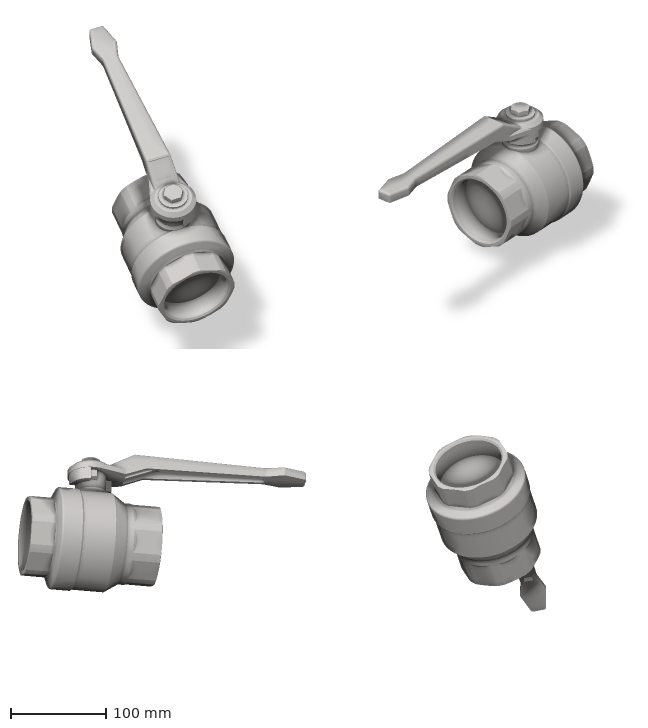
import cadquery as cq
import math


same_place = 0.03

inlet_x = -70.0
outlet_x = 70.2
end_radius = 43.0
body_radius = 52.5
cap_radius = 54.0
inlet_cone_start_x = -32.5
inlet_cone_end_x = -18.0
cap_step_x = 16.2
cap_step_length = 1.8
cap_shoulder_x = 39.3
cap_shoulder_fillet = 2.5
cap_cone_end_x = 43.5
cap_cone_end_radius = 44.7
outlet_neck_x = 45.0
rim_chamfer_length = 0.5
rim_chamfer_depth = 1.8

bore_radius = 36.0
bore_mouth_radius = 37.8
bore_depth = 23.5

flat_count = 8
flat_apothem = 41.0
inlet_flat_end_x = -39.3
inlet_flat_runout = 3.5

neck_radius = 16.5
collar_radius = 19.2
collar_top_z = 54.5
collar_chamfer = 3.0

hub_radius = 24.3
hub_bottom_z = 76.0
hub_edge_z = 82.5
hub_top_z = 86.5
hub_top_radius = 19.8
washer_radius = 15.3
washer_top_z = 89.0
nut_across_flats = 18.5
nut_top_z = 95.5
nut_chamfer_angle = math.radians(30)

skirt_radius = 23.7
skirt_bottom_z = 63.0
skirt_gap = 4.0
lug_root_depth = 1.5
lug_half_width = 4.8
lug_tip_half_width = 3.0
lug_tip_y = 22.0
lug_top_z = 73.8
lug_bottom_z = 64.2
lug_tip_bottom_z = 66.3

overall_length = 300
lever_tip_x = outlet_x - overall_length
lever_top_z = 101.5
lever_tip_bottom_z = 91.0
lever_knob_x = -205.2
lever_waist_x = -186.0
lever_root_x = -12.0
lever_tip_half_width = 7.8
lever_knob_half_width = 14.0
lever_waist_half_width = 8.7
lever_root_half_width = 15.0
lever_bend_x = -45.0
lever_slope = math.tan(math.radians(30))
lever_heel_x = -58.2
lever_heel_z = 85.5
lever_foot_x = -35.0
lever_corner_radius = 2.5
lever_rim_fillet = 3.0

lever_wall = 4.0
lever_rib_half_width = 3.3
lever_roof = 5.5
slope_roof_drop = 10.8
pocket_end_x = -23.7
panel_start_x = -43.2
panel_end_x = -24.0
panel_half_width = 11.0
panel_depth = 1.0

gusset_top_z = 83.0
gusset_chamfer = 1.8
gusset_start_x = -36.0
gusset_tangent_angle = math.radians(17.6)


def upright_cylinder(radius, bottom_z, top_z):
    return cq.Workplane("XY").workplane(offset=bottom_z).circle(radius).extrude(top_z - bottom_z)


def slope_top_z(x):
    """Height of the lever's sloped top face at x."""
    return lever_top_z - (x - lever_bend_x) * lever_slope


def mirrored(points):
    """The same points on the -Y side, in reverse order."""
    return [(x, -y) for x, y in reversed(points)]


def make_body():
    profile = (
        cq.Workplane("XY")
        .moveTo(inlet_x, 0)
        .lineTo(inlet_x, end_radius - rim_chamfer_depth)
        .lineTo(inlet_x + rim_chamfer_length, end_radius)
        .lineTo(inlet_cone_start_x, end_radius)
        .lineTo(inlet_cone_end_x, body_radius)
        .lineTo(cap_step_x, body_radius)
        .lineTo(cap_step_x + cap_step_length, cap_radius)
        .lineTo(cap_shoulder_x, cap_radius)
        .lineTo(cap_cone_end_x, cap_cone_end_radius)
        .lineTo(outlet_neck_x, end_radius)
        .lineTo(outlet_x - rim_chamfer_length, end_radius)
        .lineTo(outlet_x, end_radius - rim_chamfer_depth)
        .lineTo(outlet_x, 0)
        .close()
    )
    body = profile.revolve(360, (0, 0, 0), (1, 0, 0))
    rims = body.edges("%CIRCLE").vals()
    shoulder_rims = [rim for rim in rims if abs(rim.Center().x - cap_shoulder_x) < same_place]
    return body.newObject(shoulder_rims).fillet(cap_shoulder_fillet)


def make_socket(mouth_x, inward):
    """Bore with a chamfered mouth; inward is +1 or -1 along X."""
    mouth_chamfer = bore_mouth_radius - bore_radius
    profile = (
        cq.Workplane("XY")
        .moveTo(mouth_x, 0)
        .lineTo(mouth_x, bore_mouth_radius)
        .lineTo(mouth_x + inward * mouth_chamfer, bore_radius)
        .lineTo(mouth_x + inward * bore_depth, bore_radius)
        .lineTo(mouth_x + inward * bore_depth, 0)
        .close()
    )
    return profile.revolve(360, (0, 0, 0), (1, 0, 0))


def make_flat_cutters(start_x, end_x):
    """Slabs that lie outside the wrench flats between two stations along the flow axis."""
    slab = (
        cq.Workplane("XY").workplane(offset=flat_apothem)
        .rect(end_x - start_x, 2 * end_radius)
        .extrude(end_radius - flat_apothem)
        .translate(((start_x + end_x) / 2, 0, 0))
    )
    step = 360 / flat_count
    cutters = cq.Workplane("XY")
    for index in range(flat_count):
        cutters = cutters.add(slab.rotate((0, 0, 0), (1, 0, 0), (index + 0.5) * step))
    return cutters.combine()


def make_flat_runout():
    """Cone that the inlet flats climb to meet the round end of the body."""
    return (
        cq.Workplane("XY")
        .moveTo(inlet_flat_end_x - inlet_flat_runout, 0)
        .lineTo(inlet_flat_end_x - inlet_flat_runout, flat_apothem)
        .lineTo(inlet_flat_end_x, end_radius)
        .lineTo(inlet_flat_end_x, 0)
        .close()
        .revolve(360, (0, 0, 0), (1, 0, 0))
    )


def make_neck():
    collar = upright_cylinder(collar_radius, 0, collar_top_z + collar_chamfer)
    collar = collar.faces(">Z").chamfer(collar_chamfer)
    return collar.union(upright_cylinder(neck_radius, 0, hub_bottom_z))


def make_lug():
    """Stop lug on the -Y side of the neck, tapering towards its tip."""
    root_y = neck_radius - lug_root_depth

    def section(half_width, bottom_z):
        return [
            (-half_width, bottom_z),
            (half_width, bottom_z),
            (half_width, lug_top_z),
            (-half_width, lug_top_z),
        ]

    return (
        cq.Workplane("XZ", origin=(0, -root_y, 0))
        .polyline(section(lug_half_width, lug_bottom_z)).close()
        .workplane(offset=lug_tip_y - root_y)
        .polyline(section(lug_tip_half_width, lug_tip_bottom_z)).close()
        .loft(ruled=True)
    )


def make_skirt():
    """Quarter skirt under the hub on its -X, -Y side."""
    quarter = (
        cq.Workplane("XY").workplane(offset=skirt_bottom_z)
        .rect(-hub_radius, -hub_radius, centered=False)
        .extrude(hub_bottom_z - skirt_bottom_z)
        .translate((-skirt_gap, -skirt_gap, 0))
    )
    return upright_cylinder(skirt_radius, skirt_bottom_z, hub_bottom_z).intersect(quarter)


def make_nut():
    """Hexagon nut whose top corners are turned off by a cone."""
    flat_radius = nut_across_flats / 2
    corner_radius = flat_radius / math.cos(math.radians(30))
    corner_drop = (corner_radius - flat_radius) * math.tan(nut_chamfer_angle)
    hexagon = (
        cq.Workplane("XY").workplane(offset=washer_top_z)
        .polygon(6, 2 * corner_radius)
        .extrude(nut_top_z - washer_top_z)
        .rotate((0, 0, 0), (0, 0, 1), 30)
    )
    turned = (
        cq.Workplane("XZ")
        .moveTo(0, washer_top_z)
        .lineTo(corner_radius, washer_top_z)
        .lineTo(corner_radius, nut_top_z - corner_drop)
        .lineTo(flat_radius, nut_top_z)
        .lineTo(0, nut_top_z)
        .close()
        .revolve(360, (0, 0, 0), (0, 1, 0))
    )
    return hexagon.intersect(turned)


def make_hub():
    hub = (
        cq.Workplane("XZ")
        .moveTo(0, hub_bottom_z)
        .lineTo(hub_radius, hub_bottom_z)
        .lineTo(hub_radius, hub_edge_z)
        .lineTo(hub_top_radius, hub_top_z)
        .lineTo(washer_radius, hub_top_z)
        .lineTo(washer_radius, washer_top_z)
        .lineTo(0, washer_top_z)
        .close()
        .revolve(360, (0, 0, 0), (0, 1, 0))
    )
    return hub.union(make_nut())


def make_gussets():
    """Plate whose two sides run tangent into the hub."""
    tangent_x = -hub_radius * math.sin(gusset_tangent_angle)
    tangent_y = hub_radius * math.cos(gusset_tangent_angle)
    start_y = tangent_y - (tangent_x - gusset_start_x) * math.tan(gusset_tangent_angle)
    outline = [
        (gusset_start_x, -start_y),
        (tangent_x, -tangent_y),
        (tangent_x, tangent_y),
        (gusset_start_x, start_y),
    ]
    plate = cq.Workplane("XY").workplane(offset=hub_bottom_z).polyline(outline).close()
    plate = plate.extrude(gusset_top_z - hub_bottom_z)
    return plate.faces(">Z").edges("not |Y").chamfer(gusset_chamfer)


def rim_edges(lever):
    """Edges round the lever's top and sloped faces, without the bend and the end hidden in the hub."""
    slope_face = lever.faces(cq.selectors.ParallelDirSelector(cq.Vector(lever_slope, 0, 1)))
    top_face = lever.faces(">Z")
    return top_face.edges("not |Y or <X").vals() + slope_face.edges("not |Y").vals()


def make_lever_blank():
    half_outline = [
        (lever_tip_x, lever_tip_half_width),
        (lever_knob_x, lever_knob_half_width),
        (lever_waist_x, lever_waist_half_width),
        (lever_root_x, lever_root_half_width),
    ]
    plan = cq.Workplane("XY").polyline(half_outline + mirrored(half_outline)).close().extrude(lever_top_z)
    knob_corners = [edge for edge in plan.edges("|Z").vals() if edge.Center().x < lever_waist_x + same_place]
    plan = plan.newObject(knob_corners).fillet(lever_corner_radius)
    side = (
        cq.Workplane("XZ")
        .polyline([
            (lever_tip_x, lever_top_z),
            (lever_bend_x, lever_top_z),
            (lever_root_x, slope_top_z(lever_root_x)),
            (lever_root_x, hub_bottom_z),
            (lever_foot_x, hub_bottom_z),
            (lever_heel_x, lever_heel_z),
            (lever_knob_x, lever_tip_bottom_z),
            (lever_tip_x, lever_tip_bottom_z),
        ])
        .close()
        .extrude(hub_radius, both=True)
    )
    blank = plan.intersect(side)
    return blank.newObject(rim_edges(blank)).fillet(lever_rim_fillet)


def make_lever_pocket():
    """Hollow under the lever, open below, with a rib left along its centre at the slope."""
    half_outline = [
        (lever_waist_x, lever_waist_half_width - lever_wall),
        (pocket_end_x, lever_root_half_width - lever_wall),
    ]
    plan = cq.Workplane("XY").polyline(half_outline + mirrored(half_outline)).close().extrude(lever_top_z)
    roof_z = lever_top_z - lever_roof
    side = (
        cq.Workplane("XZ")
        .polyline([
            (lever_waist_x, hub_bottom_z),
            (lever_waist_x, roof_z),
            (lever_bend_x - lever_roof, roof_z),
            (pocket_end_x, slope_top_z(pocket_end_x) - slope_roof_drop),
            (pocket_end_x, hub_bottom_z),
        ])
        .close()
        .extrude(hub_radius, both=True)
    )
    heel_slope = (lever_heel_z - hub_bottom_z) / (lever_heel_x - lever_foot_x)
    rib_start_x = lever_foot_x + (roof_z - hub_bottom_z) / heel_slope
    rib = (
        cq.Workplane("XZ")
        .polyline([
            (rib_start_x, roof_z),
            (lever_foot_x, hub_bottom_z),
            (pocket_end_x, hub_bottom_z),
            (pocket_end_x, roof_z),
        ])
        .close()
        .extrude(lever_rib_half_width, both=True)
    )
    return plan.intersect(side).cut(rib)


def make_panel_recess():
    """Shallow rectangular recess in the lever's sloped top face."""
    return (
        cq.Workplane("XZ")
        .polyline([
            (panel_start_x, slope_top_z(panel_start_x) - panel_depth),
            (panel_end_x, slope_top_z(panel_end_x) - panel_depth),
            (panel_end_x, slope_top_z(panel_end_x)),
            (panel_start_x, slope_top_z(panel_start_x)),
        ])
        .close()
        .extrude(panel_half_width, both=True)
    )


def half_turn(shape):
    return shape.rotate((0, 0, 0), (0, 0, 1), 180)


body = make_body()
body = body.cut(make_flat_cutters(inlet_x, inlet_flat_end_x).cut(make_flat_runout()))
body = body.cut(make_flat_cutters(outlet_neck_x, outlet_x))
body = body.union(make_neck())
body = body.cut(make_socket(inlet_x, 1)).cut(make_socket(outlet_x, -1))

lever = make_lever_blank().cut(make_lever_pocket()).cut(make_panel_recess())

lug = make_lug()
skirt = make_skirt()
result = body
for feature in (lug, half_turn(lug), skirt, half_turn(skirt), make_hub(), make_gussets(), lever):
    result = result.union(feature)